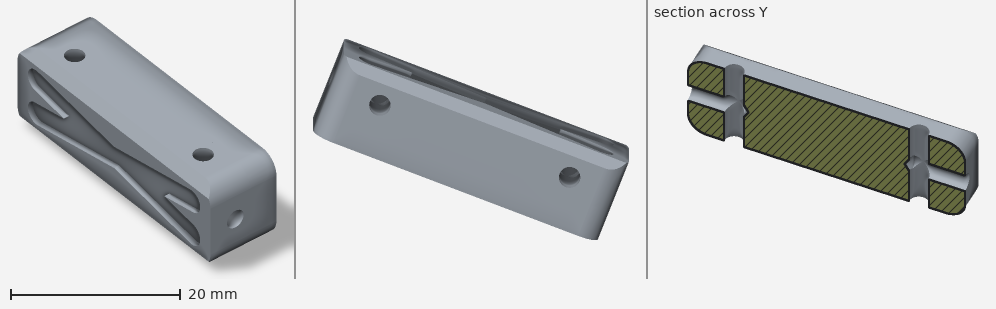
import cadquery as cq
import math

length = 36.0
depth = 10.0
height = 12.0
corner_radius = 2.52

plate_thickness = 4.0
block_depth = depth - plate_thickness
front_chamfer = 1.25

hole_diameter = 2.52
hole_radius = hole_diameter / 2
hole_y = 3.78
upright_hole_x = 12.0
end_hole_depth = 7.1
drill_point_angle = 118.0

slot_radius = 1.6
slot_end_x = 14.5
slot_end_z = 2.5
recess_depth = 0.8


def rounded_slab(front_y, thickness):
    """Bar section with rounded corners, its front face at front_y."""
    return (
        cq.Workplane("XY")
        .box(length, thickness, height)
        .edges("|Y")
        .fillet(corner_radius)
        .translate((0, front_y + thickness / 2, 0))
    )


def chamfered_outline():
    """Full-length prism that bevels the front top and bottom edges."""
    half_height = height / 2
    return (
        cq.Workplane("YZ")
        .moveTo(0, half_height - front_chamfer)
        .lineTo(front_chamfer, half_height)
        .lineTo(block_depth, half_height)
        .lineTo(block_depth, -half_height)
        .lineTo(front_chamfer, -half_height)
        .lineTo(0, front_chamfer - half_height)
        .close()
        .extrude(length / 2, both=True)
    )


def crossed_slots():
    """Two round-ended slots crossing at the middle of the front face."""
    slot_angle = math.degrees(math.atan2(slot_end_z, slot_end_x))
    slot_length = 2 * (math.hypot(slot_end_x, slot_end_z) + slot_radius)
    slots = cq.Workplane("XZ")
    for angle in (slot_angle, -slot_angle):
        slot = cq.Workplane("XZ").slot2D(slot_length, 2 * slot_radius, angle).extrude(-recess_depth)
        slots = slots.add(slot)
    return slots.combine()


def upright_holes():
    """Two holes running through the full height."""
    return (
        cq.Workplane("XY", origin=(0, hole_y, -height / 2))
        .pushPoints([(-upright_hole_x, 0), (upright_hole_x, 0)])
        .circle(hole_radius)
        .extrude(height)
    )


def end_hole(side):
    """Drilled blind hole with a conical bottom; side is -1 or +1 along X."""
    point_length = hole_radius / math.tan(math.radians(drill_point_angle / 2))
    end_x = side * length / 2
    shoulder_x = end_x - side * end_hole_depth
    tip_x = shoulder_x - side * point_length
    return (
        cq.Workplane("XY", origin=(0, hole_y, 0))
        .moveTo(end_x, 0)
        .lineTo(end_x, hole_radius)
        .lineTo(shoulder_x, hole_radius)
        .lineTo(tip_x, 0)
        .close()
        .revolve(360, (0, 0, 0), (1, 0, 0))
    )


def make_block():
    block = rounded_slab(0, block_depth).intersect(chamfered_outline())
    block = block.cut(crossed_slots()).cut(upright_holes())
    for side in (-1, 1):
        block = block.cut(end_hole(side))
    return block


block = make_block()
back_plate = rounded_slab(block_depth, plate_thickness)

result = cq.Compound.makeCompound([block.val(), back_plate.val()])